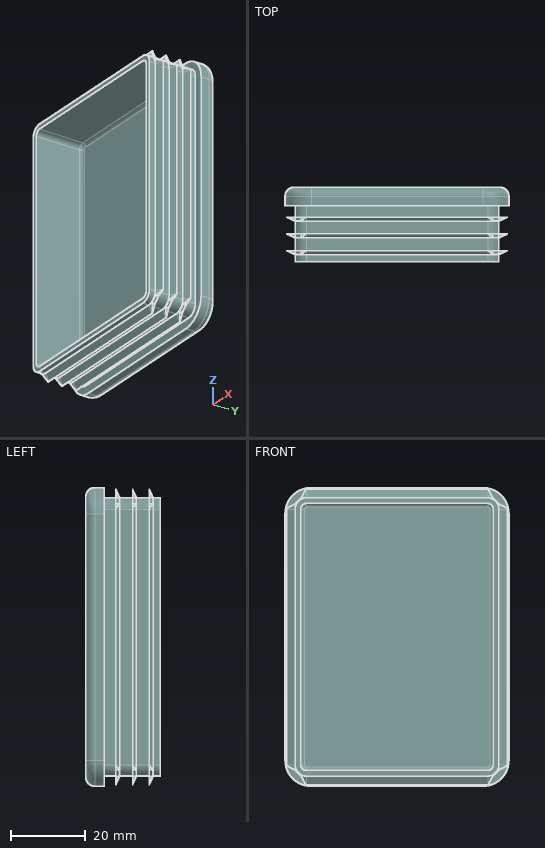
import cadquery as cq
import math

cap_width = 60.0
cap_height = 80.0
cap_thickness = 5.0
cap_corner_radius = 7.0
cap_edge_radius = 2.5

total_depth = 20.0
plug_inset = 2.7
plug_corner_radius = 3.0
plug_width = cap_width - 2 * plug_inset
plug_height = cap_height - 2 * plug_inset

wall = 1.5
floor_thickness = cap_thickness
floor_fillet = 1.0

fin_count = 3
first_fin_depth = 8.1
fin_pitch = 4.5
fin_thickness = 1.0
fin_reach = 2.2
fin_embed = 0.5
notch_margin = 0.8
fin_tip_trim = 0.2
fin_root_trim = 1.4

cap_face_y = total_depth / 2


def rounded_block(width, height, corner_radius, start_depth, end_depth):
    """Rounded rectangle block between two depths below the cap face."""
    return (
        cq.Workplane("XZ", origin=(0, cap_face_y - start_depth, 0))
        .rect(width, height)
        .extrude(end_depth - start_depth)
        .edges("|Y")
        .fillet(corner_radius)
    )


def fin_corner_cutter(depth):
    """Notches that part the fin into four blades, one per plug side."""
    arc_x = plug_width / 2 - plug_corner_radius
    arc_z = plug_height / 2 - plug_corner_radius
    root = plug_corner_radius
    slant = (fin_root_trim - fin_tip_trim) / fin_reach
    clear = root + 2 * fin_reach
    clear_trim = fin_tip_trim - slant * fin_reach
    notch = (
        cq.Workplane("XZ", origin=(0, cap_face_y - depth + notch_margin, 0))
        .moveTo(arc_x + clear_trim, arc_z + clear)
        .lineTo(arc_x + fin_root_trim, arc_z + root)
        .lineTo(arc_x + root, arc_z + fin_root_trim)
        .lineTo(arc_x + clear, arc_z + clear_trim)
        .lineTo(arc_x + clear, arc_z + clear)
        .close()
        .extrude(fin_thickness + fin_embed + 2 * notch_margin)
    )
    notches = notch.union(notch.mirror("YZ"))
    return notches.union(notches.mirror("XY"))


def sealing_fin(depth):
    """Tapered plate, widest at its flat face, that ends inside the plug wall."""
    slope = math.degrees(math.atan2(fin_reach, fin_thickness))
    taper_height = fin_thickness * (fin_reach + fin_embed) / fin_reach
    outline = cq.Sketch().rect(plug_width + 2 * fin_reach, plug_height + 2 * fin_reach)
    outline = outline.vertices().fillet(plug_corner_radius + fin_reach)
    plate = (
        cq.Workplane("XZ", origin=(0, cap_face_y - depth, 0))
        .placeSketch(outline)
        .extrude(taper_height, taper=slope)
    )
    return plate.cut(fin_corner_cutter(depth))


cap = rounded_block(cap_width, cap_height, cap_corner_radius, 0, cap_thickness)
cap = cap.faces(">Y").edges().fillet(cap_edge_radius)

plug = rounded_block(plug_width, plug_height, plug_corner_radius, cap_thickness, total_depth)

cavity = rounded_block(
    plug_width - 2 * wall,
    plug_height - 2 * wall,
    plug_corner_radius - wall,
    floor_thickness,
    total_depth,
)
cavity = cavity.faces(">Y").edges().fillet(floor_fillet)

body = cap.union(plug)
for index in range(fin_count):
    body = body.union(sealing_fin(first_fin_depth + index * fin_pitch))

result = body.cut(cavity)